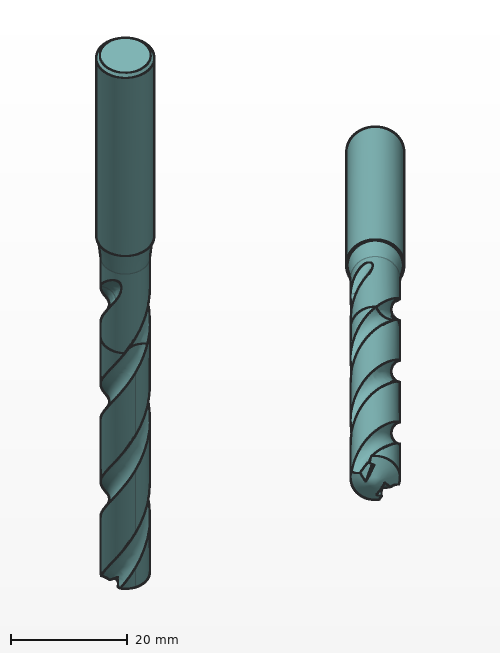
import cadquery as cq
import math

overall_length = 125.0

shank_diameter = 10.0
shank_bottom = 82.1
shank_chamfer = 0.6
neck_top_diameter = 9.5
neck_bottom = 77.1

drill_diameter = 8.5
drill_radius = drill_diameter / 2
point_angle = 120.0
body_split_height = 58.4
point_height = drill_radius / math.tan(math.radians(point_angle / 2))

flute_count = 2
helix_angle = 30.0
flute_top = 70.4
flute_phase = 10.0
flute_bottom_radius = 2.8
flute_profile_radius = 3.4
flute_center_radius = flute_bottom_radius + flute_profile_radius
flute_lead = math.pi * drill_diameter / math.tan(math.radians(helix_angle))
flute_twist = 360 * flute_top / flute_lead

runout_height = 15.0
runout_slope = 0.05
runout_lean = 0.85
runout_outward = runout_height * runout_slope
runout_shift = runout_height * runout_lean

gash_left = -1.5
gash_right = 3.2
gash_peak_x = 1.6
gash_peak_height = 3.5
gash_web = 1.5


def make_blank():
    """Round blank with chamfered shank, tapered neck and conical point."""
    shank_radius = shank_diameter / 2
    return (
        cq.Workplane("XZ")
        .moveTo(0, 0)
        .lineTo(drill_radius, point_height)
        .lineTo(drill_radius, neck_bottom)
        .lineTo(neck_top_diameter / 2, shank_bottom)
        .lineTo(shank_radius, shank_bottom)
        .lineTo(shank_radius, overall_length - shank_chamfer)
        .lineTo(shank_radius - shank_chamfer, overall_length)
        .lineTo(0, overall_length)
        .close()
        .revolve(360, (0, 0, 0), (0, 1, 0))
    )


def make_helical_flute(direction):
    """Twisted round cutter that faces the given direction at flute_top."""
    return (
        cq.Workplane("XY")
        .moveTo(0, -flute_center_radius)
        .circle(flute_profile_radius)
        .twistExtrude(flute_top, flute_twist)
        .rotate((0, 0, 0), (0, 0, 1), direction - flute_twist)
    )


def make_runout(direction):
    """Straight cutter that leads the flute tangentially and slightly outward."""
    start = cq.Vector(0, -flute_center_radius, flute_top)
    end = start + cq.Vector(runout_shift, -runout_outward, runout_height)
    path = cq.Workplane(cq.Edge.makeLine(start, end))
    return (
        cq.Workplane("XY", origin=start)
        .circle(flute_profile_radius)
        .sweep(path)
        .rotate((0, 0, 0), (0, 0, 1), direction)
    )


def make_gash(angle):
    """Triangular notch that thins the web where a flute meets the point."""
    return (
        cq.Workplane("XZ", origin=(0, -gash_web, 0))
        .moveTo(gash_left, 0)
        .lineTo(gash_peak_x, gash_peak_height)
        .lineTo(gash_right, 0)
        .close()
        .extrude(drill_radius)
        .rotate((0, 0, 0), (0, 0, 1), angle)
    )


drill = make_blank()
for index in range(flute_count):
    index_angle = index * 360 / flute_count
    flute_direction = flute_phase + index_angle
    drill = drill.cut(make_helical_flute(flute_direction))
    drill = drill.cut(make_runout(flute_direction))
    drill = drill.cut(make_gash(index_angle))

lower = cq.Workplane("XY").circle(shank_diameter).extrude(body_split_height)
cutting_body = drill.intersect(lower)
shank_body = drill.cut(lower)

result = cq.Compound.makeCompound([cutting_body.val(), shank_body.val()])